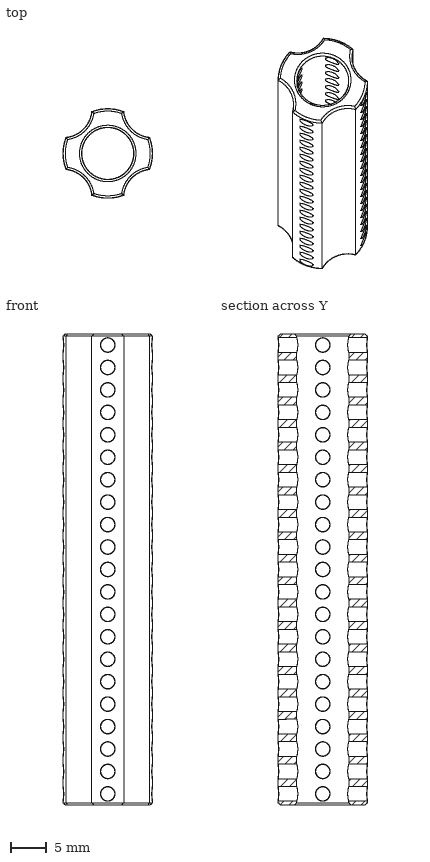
import cadquery as cq
import math

length = 65.6
outer_diameter = 12.5
bore_diameter = 7.2
lobe_width = 4.45
flute_floor_radius = 4.8
edge_chamfer = 0.3
side_hole_diameter = 2.0
side_hole_count = 21
lobe_count = 4

outer_radius = outer_diameter / 2
hole_pitch = length / side_hole_count
lobe_step = 360.0 / lobe_count
lobe_half_angle = math.degrees(math.asin(lobe_width / 2 / outer_radius))


def polar_point(radius, angle):
    """Point in the XY plane at a radius and an angle in degrees."""
    radians = math.radians(angle)
    return (radius * math.cos(radians), radius * math.sin(radians))


def make_fluted_bar():
    """Solid bar with four rounded lobes separated by concave flutes."""
    outline = cq.Workplane("XY").moveTo(*polar_point(outer_radius, -lobe_half_angle))
    for lobe in range(lobe_count):
        lobe_angle = lobe * lobe_step
        next_angle = lobe_angle + lobe_step
        outline = outline.threePointArc(
            polar_point(outer_radius, lobe_angle),
            polar_point(outer_radius, lobe_angle + lobe_half_angle),
        )
        outline = outline.threePointArc(
            polar_point(flute_floor_radius, lobe_angle + lobe_step / 2),
            polar_point(outer_radius, next_angle - lobe_half_angle),
        )
    return outline.close().extrude(length)


def make_side_holes(plane_name):
    """Column of evenly spaced cross holes passing through two opposite lobes."""
    centers = [(0, (row + 0.5) * hole_pitch) for row in range(side_hole_count)]
    return (
        cq.Workplane(plane_name)
        .pushPoints(centers)
        .circle(side_hole_diameter / 2)
        .extrude(outer_radius, both=True)
    )


tube = make_fluted_bar().faces(">Z").workplane().hole(bore_diameter)
tube = tube.faces("<Z or >Z").chamfer(edge_chamfer)

for plane_name in ("XZ", "YZ"):
    tube = tube.cut(make_side_holes(plane_name))

result = tube